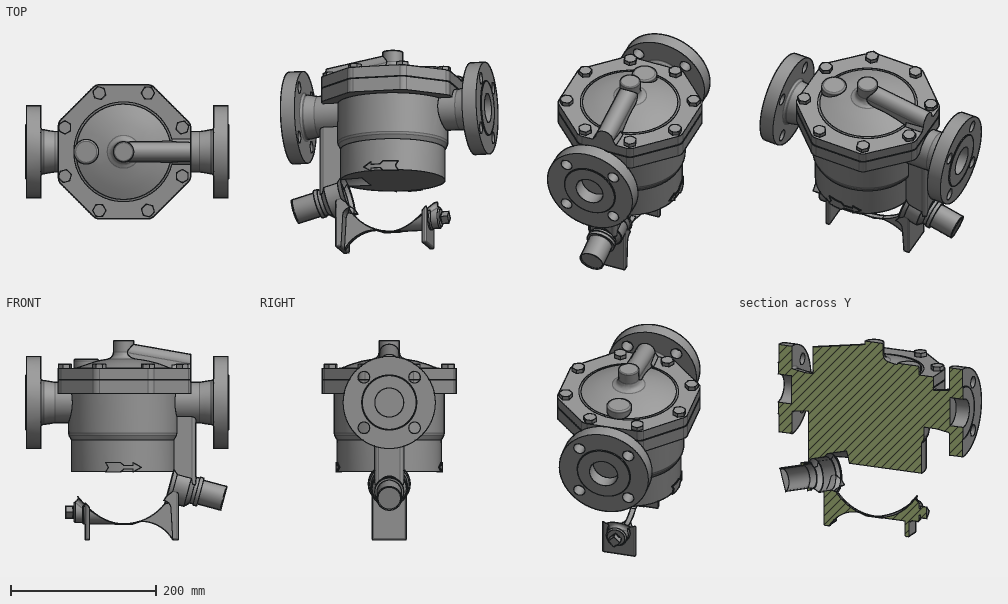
import cadquery as cq
import math


FACE_TO_FACE = 280.0
PIPE_MID_X = 5.0
FLANGE_DIA = 127.0
FLANGE_THICKNESS = 20.0
RAISED_FACE_DIA = 76.0
RAISED_FACE_HEIGHT = 1.2
RAISED_FACE_BEVEL = 1.0
FLANGE_HOLE_DIA = 16.0
FLANGE_HOLE_COUNT = 4
FLANGE_HOLE_CIRCLE = 98.5
PIPE_DIA = 56.0
PIPE_BORE_DIA = 40.0
PIPE_BORE_DEPTH = 20.0
HUB_DIA = 61.0
HUB_TAPER_START = 4.0
HUB_TAPER_END = 19.0
HUB_FILLET = 3.0

OCTAGON_SIDES = 8
OCTAGON_WIDTH = 185.0
OCTAGON_CORNER_RADIUS = 12.0
JOINT_INLET_X = -90.0
COVER_TOP_Z = 47.1
GASKET_Z = 31.1
GASKET_THICKNESS = 0.8
GASKET_INSET = 0.5
BODY_FLANGE_BOTTOM_Z = 12.3
BOLT_CIRCLE = 175.0
BOLT_COUNT = 8
BOLT_AF = 16.0
BOLT_HEAD_HEIGHT = 5.7
BOLT_TWIST = -7.5
BOLT_BEVEL = 0.8

UPPER_BODY_RADIUS = 76.0
LOWER_BODY_RADIUS = 72.0
STEP_TOP_Z = -42.0
STEP_CREASE_RADIUS = 75.2
STEP_CREASE_Z = -45.5
STEP_LOW_Z = -51.5
BODY_BOTTOM_Z = -95.0

DOME_EDGE_RADIUS = 66.5
DOME_RISE = 14.2
DOME_RIM_RADIUS = 68.7
DOME_RIM_HEIGHT = 0.4
STEM_DIA = 28.0
STEM_TOP_Z = 85.5
STEM_FILLET = 10.0
STEM_TOP_FILLET = 1.5
STEM_ROOT_HALF_WIDTH = 20.0
STEM_ROOT_LOW_Z = 58.0
STEM_ROOT_HIGH_Z = 64.0
PAD_X = -51.5
PAD_DIA = 34.0
PAD_TOP_Z = 59.8
PAD_FILLET = 2.5

RIDGE_DIA = 26.0
RIDGE_SLOPE = 10.0
RIDGE_END_AXIS_Z = 53.2
RIDGE_DRAFT = 10.0
RIDGE_FOOT_WIDTH = 35.0

DUCT_WIDTH = 40.0
DUCT_OUTER_X = 99.5
DUCT_TOP_Z = -15.2
DUCT_CORNER_RADIUS = 5.5
DUCT_END_OFFSET = 8.0

OUTLET_SLOPE = 15.0
OUTLET_LENGTH = 143.0
OUTLET_TUBE_DIA = 34.0
OUTLET_TUBE_BORE = 31.0
OUTLET_TUBE_END_WALL = 1.5
OUTLET_COLLAR_DIA = 40.0
OUTLET_COLLAR_START = 104.0
OUTLET_COLLAR_END = 109.5
OUTLET_NECK_DIA = 37.0
OUTLET_NECK_START = 99.0
OUTLET_BARREL_DIA = 50.0
OUTLET_BARREL_START = 72.5
OUTLET_BARREL_END = 92.5
OUTLET_MOUTH_DIA = 58.0
OUTLET_WALL = 1.5

FOOT_WIDTH = 47.0
FOOT_BOTTOM_Z = -189.5
FOOT_EDGE_FILLET = 2.0
REAR_FOOT_X = -53.1
REAR_FOOT_THICKNESS = 6.4
FRONT_FOOT_X = 75.7
FRONT_FOOT_THICKNESS = 8.0
FRONT_FOOT_DRAFT = 2.5
FRONT_FOOT_ROOT_Z = -146.0
FRONT_FOOT_ROOT_RADIUS = 11.0
FRONT_FOOT_LIP_X = 54.0
FRONT_FOOT_LIP_Z = -135.0
WEB_THICKNESS = 7.0
WEB_ARC_RADIUS = 50.0
WEB_CREST_X = 24.0
WEB_CREST_Z = -163.7
LINK_END_X = -12.0
LINK_DEPTH = 0.8

PLUG_AXIS_ABOVE_BOWL = 16.0
PLUG_FLARE_RADIUS = 16.3
PLUG_BOSS_DIA = 29.0
PLUG_BOSS_X = -68.5
PLUG_BOSS_CHAMFER = 2.0
PLUG_FLARE_START_X = -59.0
PLUG_FLARE_END_X = -55.0
PLUG_BOSS_END_X = -30.0
PLUG_ROOT_FILLET = 5.0
PLUG_NECK_DIA = 10.0
PLUG_NECK_LENGTH = 1.2
PLUG_SQUARE = 12.0
PLUG_SQUARE_LENGTH = 10.0

ARROW_RELIEF = 1.5
ARROW_MID_Z = -89.2
ARROW_TAIL_X = -24.7
ARROW_NOTCH_X = -21.0
ARROW_BLOCK_X = -4.0
ARROW_SHAFT_X = 0.0
ARROW_HEAD_X = 13.0
ARROW_TIP_X = 24.4
ARROW_HALF_HEIGHT = 6.5
ARROW_SHAFT_HALF_HEIGHT = 2.6

HALF_LENGTH = FACE_TO_FACE / 2
BOWL_RADIUS = LOWER_BODY_RADIUS
BOWL_BOTTOM_Z = BODY_BOTTOM_Z - BOWL_RADIUS
PLUG_Z = BOWL_BOTTOM_Z + PLUG_AXIS_ABOVE_BOWL
OUTLET_FLARE_START = math.sqrt(BOWL_RADIUS ** 2 - (OUTLET_MOUTH_DIA / 2) ** 2)
OUTLET_TAN = math.tan(math.radians(OUTLET_SLOPE))
DOME_SPHERE_RADIUS = (DOME_EDGE_RADIUS ** 2 + DOME_RISE ** 2) / (2 * DOME_RISE)
DOME_CENTRE_Z = COVER_TOP_Z + DOME_RISE - DOME_SPHERE_RADIUS


def cylinder_z(diameter, z_low, z_high, x=0.0):
    plane = cq.Workplane("XY", origin=(x, 0, z_low))
    return plane.circle(diameter / 2).extrude(z_high - z_low)


def cylinder_x(diameter, x_low, x_high, z=0.0):
    plane = cq.Workplane("YZ", origin=(x_low, 0, z))
    return plane.circle(diameter / 2).extrude(x_high - x_low)


def plate_y(outline, width):
    """Extrude an XZ outline symmetrically about the Y = 0 plane."""
    return outline.close().extrude(width / 2, both=True)


def bowl():
    """Spherical form that trims everything below the body."""
    half_disc = cq.Workplane("XY").moveTo(0, -BOWL_RADIUS).radiusArc((0, BOWL_RADIUS), BOWL_RADIUS).close()
    sphere = half_disc.revolve(360, (0, 0, 0), (0, 1, 0)).rotate((0, 0, 0), (0, 1, 0), 90)
    return sphere.translate((0, 0, BODY_BOTTOM_Z))


def line_flange():
    """Weld-neck flange with its stub pipe, on the -X side of the pipeline centre."""
    front = -HALF_LENGTH + RAISED_FACE_HEIGHT
    back = front + FLANGE_THICKNESS
    hub = HUB_DIA / 2
    profile = (
        cq.Workplane("XZ")
        .moveTo(-HALF_LENGTH, 0)
        .lineTo(-HALF_LENGTH, RAISED_FACE_DIA / 2 - RAISED_FACE_BEVEL)
        .lineTo(front, RAISED_FACE_DIA / 2)
        .lineTo(front, FLANGE_DIA / 2)
        .lineTo(back, FLANGE_DIA / 2)
        .lineTo(back, hub + HUB_FILLET)
        .radiusArc((back + HUB_FILLET, hub), -HUB_FILLET)
        .lineTo(back + HUB_TAPER_START, hub)
        .lineTo(back + HUB_TAPER_END, PIPE_DIA / 2)
        .lineTo(-PIPE_MID_X, PIPE_DIA / 2)
        .lineTo(-PIPE_MID_X, 0)
        .close()
    )
    flange = profile.revolve(360, (0, 0, 0), (1, 0, 0))
    holes = (
        cq.Workplane("YZ", origin=(-HALF_LENGTH, 0, 0))
        .polarArray(FLANGE_HOLE_CIRCLE / 2, 180 / FLANGE_HOLE_COUNT, 360, FLANGE_HOLE_COUNT)
        .circle(FLANGE_HOLE_DIA / 2)
        .extrude(FLANGE_THICKNESS + RAISED_FACE_HEIGHT)
    )
    return flange.cut(holes)


def line_bore():
    return cylinder_x(PIPE_BORE_DIA, -HALF_LENGTH, -HALF_LENGTH + PIPE_BORE_DEPTH)


def at_both_ends(shape):
    """Copy a -X side shape to both ends of the pipeline."""
    return shape.union(shape.mirror("YZ")).translate((PIPE_MID_X, 0, 0))


def octagon(z_low, z_high, inset=0.0):
    """Octagonal slab with rounded corners, its -X flat set back from the regular shape."""
    width = OCTAGON_WIDTH - 2 * inset
    diameter = width / math.cos(math.pi / OCTAGON_SIDES)
    slab = cq.Workplane("XY", origin=(0, 0, z_low)).polygon(OCTAGON_SIDES, diameter)
    slab = slab.extrude(z_high - z_low).rotate((0, 0, 0), (0, 0, 1), 180 / OCTAGON_SIDES)
    trim_centre_x = JOINT_INLET_X + inset - OCTAGON_WIDTH / 2
    trim = cq.Workplane("XY").box(OCTAGON_WIDTH, OCTAGON_WIDTH, OCTAGON_WIDTH)
    slab = slab.cut(trim.translate((trim_centre_x, 0, 0)))
    return slab.edges("|Z").fillet(OCTAGON_CORNER_RADIUS)


def bolted_joint():
    """Body flange, recessed gasket and cover flange."""
    joint = octagon(BODY_FLANGE_BOTTOM_Z, GASKET_Z)
    joint = joint.union(octagon(GASKET_Z, GASKET_Z + GASKET_THICKNESS, GASKET_INSET))
    return joint.union(octagon(GASKET_Z + GASKET_THICKNESS, COVER_TOP_Z))


def bolt_heads():
    corner_dia = BOLT_AF / math.cos(math.pi / 6)
    head = cq.Workplane("XY").polygon(6, corner_dia).extrude(BOLT_HEAD_HEIGHT)
    bevel = cq.Workplane("XY").circle(corner_dia / 2).extrude(BOLT_HEAD_HEIGHT)
    head = head.intersect(bevel.faces(">Z").chamfer(BOLT_BEVEL / 2, BOLT_BEVEL))
    head = head.rotate((0, 0, 0), (0, 0, 1), BOLT_TWIST)
    head = head.translate((BOLT_CIRCLE / 2, 0, COVER_TOP_Z))
    pitch = 360 / BOLT_COUNT
    heads = cq.Workplane("XY")
    for index in range(BOLT_COUNT):
        heads = heads.add(head.rotate((0, 0, 0), (0, 0, 1), (index + 0.5) * pitch))
    return heads.combine()


def body():
    profile = (
        cq.Workplane("XZ")
        .moveTo(0, BODY_FLANGE_BOTTOM_Z)
        .lineTo(UPPER_BODY_RADIUS, BODY_FLANGE_BOTTOM_Z)
        .lineTo(UPPER_BODY_RADIUS, STEP_TOP_Z)
        .lineTo(STEP_CREASE_RADIUS, STEP_CREASE_Z)
        .lineTo(LOWER_BODY_RADIUS, STEP_LOW_Z)
        .lineTo(LOWER_BODY_RADIUS, BODY_BOTTOM_Z)
        .lineTo(0, BODY_BOTTOM_Z)
        .close()
    )
    return profile.revolve(360, (0, 0, 0), (0, 1, 0))


def dome_and_stem():
    """Spherical cover dome with its rim, central stem and side pad."""
    sphere = cq.Workplane("XY").sphere(DOME_SPHERE_RADIUS).translate((0, 0, DOME_CENTRE_Z))
    dome = sphere.intersect(cylinder_z(2 * DOME_EDGE_RADIUS, COVER_TOP_Z, STEM_TOP_Z))
    rim = cylinder_z(2 * DOME_RIM_RADIUS, COVER_TOP_Z, COVER_TOP_Z + DOME_RIM_HEIGHT)
    rim = rim.faces(">Z").chamfer(DOME_RIM_HEIGHT / 2, DOME_RIM_RADIUS - DOME_EDGE_RADIUS)
    dome = dome.union(rim).union(cylinder_z(STEM_DIA, COVER_TOP_Z, STEM_TOP_Z))
    dome = dome.faces(">Z").edges().fillet(STEM_TOP_FILLET)
    stem_root = cq.selectors.BoxSelector(
        (-STEM_ROOT_HALF_WIDTH, -STEM_ROOT_HALF_WIDTH, STEM_ROOT_LOW_Z),
        (STEM_ROOT_HALF_WIDTH, STEM_ROOT_HALF_WIDTH, STEM_ROOT_HIGH_Z),
        boundingbox=True,
    )
    dome = dome.edges(stem_root).fillet(STEM_FILLET)
    pad = cylinder_z(PAD_DIA, COVER_TOP_Z, PAD_TOP_Z, PAD_X)
    return dome.union(pad.faces(">Z").edges().fillet(PAD_FILLET))


def cover_ridge():
    """Sloping round-topped ridge from the stem to the edge of the cover."""
    end_x = OCTAGON_WIDTH / 2
    start_axis_z = RIDGE_END_AXIS_Z + end_x * math.tan(math.radians(RIDGE_SLOPE))
    tube = cylinder_x(RIDGE_DIA, -end_x, 2 * end_x)
    skirt = cq.Workplane("XY").rect(3 * end_x, RIDGE_DIA).extrude(-RIDGE_DIA, taper=-RIDGE_DRAFT)
    tube = tube.union(skirt.translate((end_x / 2, 0, 0)))
    tube = tube.rotate((0, 0, 0), (0, 1, 0), RIDGE_SLOPE).translate((0, 0, start_axis_z))
    limit = cq.Workplane("XY").box(end_x, OCTAGON_WIDTH, OCTAGON_WIDTH)
    tube = tube.intersect(limit.translate((end_x / 2, 0, COVER_TOP_Z + OCTAGON_WIDTH / 2)))
    foot = (
        cq.Workplane("YZ", origin=(DOME_EDGE_RADIUS, 0, 0))
        .moveTo(-RIDGE_FOOT_WIDTH / 2, COVER_TOP_Z)
        .lineTo(RIDGE_FOOT_WIDTH / 2, COVER_TOP_Z)
        .lineTo(RIDGE_DIA / 2, RIDGE_END_AXIS_Z)
        .lineTo(-RIDGE_DIA / 2, RIDGE_END_AXIS_Z)
        .close()
        .extrude(end_x - DOME_EDGE_RADIUS)
    )
    return tube.union(foot)


def duct():
    """Rounded box down the side of the body, ending on the sloping outlet."""
    inner_z = BODY_BOTTOM_Z + DUCT_END_OFFSET
    end_z = inner_z - DUCT_OUTER_X * OUTLET_TAN
    outline = (
        cq.Workplane("XZ")
        .moveTo(0, DUCT_TOP_Z)
        .lineTo(DUCT_OUTER_X, DUCT_TOP_Z)
        .lineTo(DUCT_OUTER_X, end_z)
        .lineTo(0, inner_z)
    )
    box = plate_y(outline, DUCT_WIDTH)
    return box.faces(">X").edges("|Z or >Z").fillet(DUCT_CORNER_RADIUS).cut(bowl())


def to_outlet_axis(shape):
    """Tilt a shape built along +X from the origin onto the outlet axis."""
    tilted = shape.rotate((0, 0, 0), (0, 1, 0), OUTLET_SLOPE)
    return tilted.translate((0, 0, BODY_BOTTOM_Z))


def outlet():
    """Flared barrel, neck, collar and tube on the outlet axis."""
    profile = (
        cq.Workplane("XZ")
        .moveTo(OUTLET_FLARE_START, 0)
        .lineTo(OUTLET_FLARE_START, OUTLET_MOUTH_DIA / 2)
        .lineTo(OUTLET_BARREL_START, OUTLET_BARREL_DIA / 2)
        .lineTo(OUTLET_BARREL_END, OUTLET_BARREL_DIA / 2)
        .lineTo(OUTLET_NECK_START, OUTLET_NECK_DIA / 2)
        .lineTo(OUTLET_COLLAR_START, OUTLET_NECK_DIA / 2)
        .lineTo(OUTLET_COLLAR_START, OUTLET_COLLAR_DIA / 2)
        .lineTo(OUTLET_COLLAR_END, OUTLET_COLLAR_DIA / 2)
        .lineTo(OUTLET_COLLAR_END, OUTLET_TUBE_DIA / 2)
        .lineTo(OUTLET_LENGTH, OUTLET_TUBE_DIA / 2)
        .lineTo(OUTLET_LENGTH, 0)
        .close()
    )
    solid = profile.revolve(360, (0, 0, 0), (1, 0, 0))
    return to_outlet_axis(solid).cut(bowl())


def outlet_bore():
    """Stepped blind bore, open only towards the bowl."""
    start_x = BOWL_RADIUS / 2
    end_x = OUTLET_LENGTH - OUTLET_TUBE_END_WALL
    profile = (
        cq.Workplane("XZ")
        .moveTo(start_x, 0)
        .lineTo(start_x, OUTLET_MOUTH_DIA / 2 - OUTLET_WALL)
        .lineTo(OUTLET_FLARE_START, OUTLET_MOUTH_DIA / 2 - OUTLET_WALL)
        .lineTo(OUTLET_BARREL_START, OUTLET_BARREL_DIA / 2 - OUTLET_WALL)
        .lineTo(OUTLET_BARREL_END, OUTLET_BARREL_DIA / 2 - OUTLET_WALL)
        .lineTo(OUTLET_NECK_START, OUTLET_NECK_DIA / 2 - OUTLET_WALL)
        .lineTo(OUTLET_COLLAR_END, OUTLET_TUBE_BORE / 2)
        .lineTo(end_x, OUTLET_TUBE_BORE / 2)
        .lineTo(end_x, 0)
        .close()
    )
    return to_outlet_axis(profile.revolve(360, (0, 0, 0), (1, 0, 0)))


def rear_foot():
    """Foot plate under the inlet with the drain boss blended into the bowl."""
    boss = cylinder_x(PLUG_BOSS_DIA, PLUG_BOSS_X, PLUG_BOSS_END_X, PLUG_Z)
    plate_height = BODY_BOTTOM_Z - FOOT_BOTTOM_Z
    plate = cq.Workplane("XY", origin=(REAR_FOOT_X + REAR_FOOT_THICKNESS / 2, 0, FOOT_BOTTOM_Z))
    plate = plate.rect(REAR_FOOT_THICKNESS, FOOT_WIDTH).extrude(plate_height)
    blended = bowl().union(boss).union(plate).edges("%BSPLINE").fillet(PLUG_ROOT_FILLET)
    foot = blended.cut(bowl()).edges("<Z or (|Z and (<Y or >Y))").fillet(FOOT_EDGE_FILLET)
    foot = foot.faces("<X").edges().chamfer(PLUG_BOSS_CHAMFER)
    sleeve = (
        cq.Workplane("XZ", origin=(0, 0, PLUG_Z))
        .moveTo(PLUG_FLARE_START_X, 0)
        .lineTo(PLUG_FLARE_START_X, PLUG_BOSS_DIA / 2 - PLUG_BOSS_CHAMFER)
        .lineTo(PLUG_FLARE_END_X, PLUG_FLARE_RADIUS)
        .lineTo(0, PLUG_FLARE_RADIUS)
        .lineTo(0, 0)
        .close()
        .revolve(360, (0, 0, 0), (1, 0, 0))
    )
    return foot.union(sleeve.cut(bowl()))


def plug():
    """Square-headed drain plug."""
    neck_x = PLUG_BOSS_X - PLUG_NECK_LENGTH
    neck = cylinder_x(PLUG_NECK_DIA, neck_x, PLUG_BOSS_X, PLUG_Z)
    head = cq.Workplane("YZ").rect(PLUG_SQUARE, PLUG_SQUARE).extrude(-PLUG_SQUARE_LENGTH)
    head = head.rotate((0, 0, 0), (1, 0, 0), 45)
    return neck.union(head.translate((neck_x, 0, PLUG_Z)))


def front_foot():
    """Foot plate under the outlet, its curved root, its web and the strip to the other foot."""
    toe_x = FRONT_FOOT_X - FRONT_FOOT_THICKNESS
    root_x = toe_x - FRONT_FOOT_DRAFT
    top_z = BODY_BOTTOM_Z - FRONT_FOOT_X * OUTLET_TAN
    plate = (
        cq.Workplane("XZ")
        .moveTo(toe_x, FOOT_BOTTOM_Z)
        .lineTo(FRONT_FOOT_X, FOOT_BOTTOM_Z)
        .lineTo(FRONT_FOOT_X, top_z)
        .lineTo(FRONT_FOOT_LIP_X, top_z)
        .lineTo(FRONT_FOOT_LIP_X, FRONT_FOOT_LIP_Z)
        .radiusArc((root_x, FRONT_FOOT_ROOT_Z), FRONT_FOOT_ROOT_RADIUS)
    )
    plate = plate_y(plate, FOOT_WIDTH).edges("<Z or (>X and |Z)").fillet(FOOT_EDGE_FILLET)
    reach = toe_x - WEB_CREST_X
    toe_z = WEB_CREST_Z - WEB_ARC_RADIUS + math.sqrt(WEB_ARC_RADIUS ** 2 - reach ** 2)
    web = (
        cq.Workplane("XZ")
        .moveTo(WEB_CREST_X, WEB_CREST_Z)
        .radiusArc((toe_x, toe_z), WEB_ARC_RADIUS)
        .lineTo(root_x, FRONT_FOOT_LIP_Z)
        .lineTo(0, FRONT_FOOT_LIP_Z)
        .lineTo(0, BOWL_BOTTOM_Z)
    )
    link = (
        cq.Workplane("XZ")
        .moveTo(LINK_END_X, BOWL_BOTTOM_Z - LINK_DEPTH)
        .lineTo(-LINK_END_X, BOWL_BOTTOM_Z - LINK_DEPTH)
        .lineTo(WEB_CREST_X, WEB_CREST_Z)
        .lineTo(WEB_CREST_X, PLUG_Z)
        .lineTo(LINK_END_X, PLUG_Z)
    )
    foot = plate.union(plate_y(web, WEB_THICKNESS)).union(plate_y(link, WEB_THICKNESS))
    return foot.cut(bowl())


def flow_arrows():
    """Raised flow arrow pointing to +X on both sides of the body."""
    upper = [
        (ARROW_TAIL_X, ARROW_HALF_HEIGHT),
        (ARROW_BLOCK_X, ARROW_HALF_HEIGHT),
        (ARROW_SHAFT_X, ARROW_SHAFT_HALF_HEIGHT),
        (ARROW_HEAD_X, ARROW_SHAFT_HALF_HEIGHT),
        (ARROW_HEAD_X, ARROW_HALF_HEIGHT),
    ]
    lower = [(x, -z) for x, z in reversed(upper)]
    outline = upper + [(ARROW_TIP_X, 0)] + lower + [(ARROW_NOTCH_X, 0)]
    prism = cq.Workplane("XZ", origin=(0, 0, ARROW_MID_Z)).polyline(outline).close()
    prism = prism.extrude(OCTAGON_WIDTH / 2, both=True)
    outer = cylinder_z(2 * (LOWER_BODY_RADIUS + ARROW_RELIEF), FOOT_BOTTOM_Z, 0)
    inner = cylinder_z(2 * (LOWER_BODY_RADIUS - ARROW_RELIEF), FOOT_BOTTOM_Z, 0)
    return prism.intersect(outer.cut(inner))


result = body().union(bolted_joint()).union(bolt_heads())
result = result.union(dome_and_stem()).union(cover_ridge())
result = result.union(at_both_ends(line_flange())).cut(at_both_ends(line_bore()))
result = result.union(duct()).union(outlet()).union(front_foot())
result = result.cut(outlet_bore())
result = result.union(rear_foot()).union(plug()).union(flow_arrows())